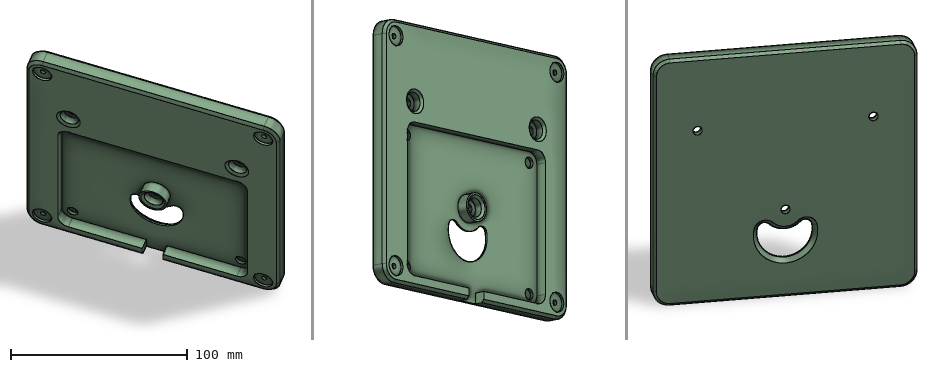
import cadquery as cq
import math

side = 152.4
thickness = 10.4
corner_radius = 9.6
edge_chamfer = 1.7

foot_diameter = 11.5
foot_depth = 1.5
pilot_diameter = 3.0
pilot_end_depth = 3.8
drill_point_angle = 118.0

pocket_width = 114.3
pocket_height = 89.0
pocket_corner_radius = 6.4
pocket_margin = 6.2
pocket_depth = 6.7
slot_width = 12.5

floor_hole_diameter = 6.4
floor_hole_depth = 2.0

seat_z = 31.1
boss_z = -22.1
boss_diameter = 16.5
seat_mouth_diameter = 14.2
seat_bore_diameter = 11.0
seat_taper_depth = 1.4
seat_depth = 6.0
screw_diameter = 5.2

window_radius = 16.0
window_z = -36.5
window_inner_radius = 13.0
window_tip_radius = 4.0
window_chamfer = 2.6

margin = 1.5

pocket_bottom = pocket_margin - side / 2
pocket_center_z = pocket_bottom + pocket_height / 2
hole_pitch_x = pocket_width - 2 * pocket_corner_radius
hole_pitch_z = pocket_height - 2 * pocket_corner_radius
foot_pitch = side - 2 * corner_radius
seat_points = [(-hole_pitch_x / 2, seat_z), (hole_pitch_x / 2, seat_z), (0, boss_z)]


def plane_at(depth):
    """Sketch plane parallel to the front face, the given depth behind it."""
    return cq.Workplane("XZ", origin=(0, depth, 0))


def corner_points(width, height, center_z=0.0):
    return [(i * width / 2, center_z + j * height / 2) for i in (-1, 1) for j in (-1, 1)]


def cylinders(points, diameter, start, end):
    """Equal cylinders running from the start depth to the end depth."""
    return plane_at(start).pushPoints(points).circle(diameter / 2).extrude(start - end)


def cones(points, start_diameter, end_diameter, start, height):
    """Equal cones, full or cut off, narrowing toward the back."""
    solids = cq.Workplane()
    for x, z in points:
        base_center = cq.Vector(x, start, z)
        cone = cq.Solid.makeCone(
            start_diameter / 2, end_diameter / 2, height, base_center, cq.Vector(0, 1, 0)
        )
        solids = solids.add(cone)
    return solids.combine()


def plate():
    body = plane_at(0).rect(side, side).extrude(-thickness)
    body = body.edges("|Y").fillet(corner_radius)
    return body.faces("<Y or >Y").edges().chamfer(edge_chamfer)


def pocket():
    """Rounded pocket and its slot, leaving the round boss standing."""
    hollow = plane_at(0).center(0, pocket_center_z).rect(pocket_width, pocket_height)
    hollow = hollow.extrude(-pocket_depth).edges("|Y").fillet(pocket_corner_radius)
    slot_height = 2 * pocket_margin
    slot = plane_at(0).center(0, -side / 2 + slot_height / 2).rect(slot_width, slot_height)
    boss = cylinders([(0, boss_z)], boss_diameter, 0, pocket_depth)
    return hollow.union(slot.extrude(-pocket_depth)).cut(boss)


def feet():
    points = corner_points(foot_pitch, foot_pitch)
    recesses = cylinders(points, foot_diameter, 0, foot_depth)
    pilots = cylinders(points, pilot_diameter, foot_depth, pilot_end_depth)
    tip_height = pilot_diameter / 2 / math.tan(math.radians(drill_point_angle / 2))
    tips = cones(points, pilot_diameter, 0, pilot_end_depth, tip_height)
    return recesses.union(pilots).union(tips)


def floor_holes():
    points = corner_points(hole_pitch_x, hole_pitch_z, pocket_center_z)
    return cylinders(points, floor_hole_diameter, pocket_depth, pocket_depth + floor_hole_depth)


def screw_seats():
    mouths = cones(seat_points, seat_mouth_diameter, seat_bore_diameter, 0, seat_taper_depth)
    bores = cylinders(seat_points, seat_bore_diameter, 0, seat_depth)
    screws = cylinders(seat_points, screw_diameter, 0, thickness)
    return mouths.union(bores).union(screws)


def window():
    """Crescent: a disc bitten by a circle around the boss, with rounded tips."""
    bite = cylinders([(0, boss_z)], 2 * window_inner_radius, pocket_depth, thickness)
    crescent = cylinders([(0, window_z)], 2 * window_radius, pocket_depth, thickness).cut(bite)
    spacing = boss_z - window_z
    tip_rise = (spacing**2 + window_radius**2 - window_inner_radius**2) / (2 * spacing)
    tip_x = math.sqrt(window_radius**2 - tip_rise**2)
    for x in (-tip_x, tip_x):
        tip = cq.selectors.NearestToPointSelector((x, pocket_depth, window_z + tip_rise))
        crescent = crescent.edges("|Y").edges(tip).fillet(window_tip_radius)
    return crescent


def flare_window(body):
    """Chamfer the rim of the window on the back face."""
    rim_box = cq.selectors.BoxSelector(
        (-window_radius - margin, thickness - margin, window_z - window_radius - margin),
        (window_radius + margin, thickness + margin, boss_z - screw_diameter),
    )
    return body.faces(">Y").edges(rim_box).chamfer(window_chamfer)


result = plate().cut(pocket()).cut(feet()).cut(floor_holes()).cut(screw_seats())
result = flare_window(result.cut(window()))